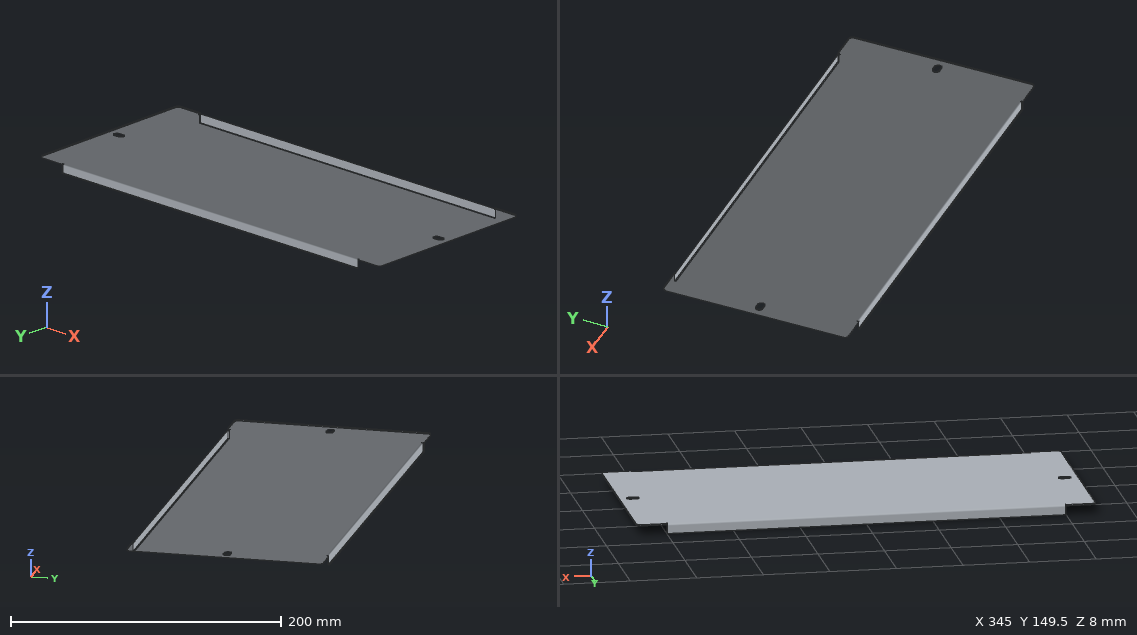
import cadquery as cq

length = 345.0
width = 149.5
height = 8.0
thickness = 1.0
corner_radius = 3.0

flange_length = 299.5
bend_outer_radius = 2.0
bend_inner_radius = bend_outer_radius - thickness

slot_length = 9.3
slot_width = 5.5
slot_spacing = 324.3


def make_channel():
    """Panel between the flange ends, with both flanges and rounded bends."""
    outer = (
        cq.Workplane("XY")
        .box(flange_length, width, height, centered=(True, True, False))
        .edges("|X and >Z")
        .fillet(bend_outer_radius)
    )
    inner = (
        cq.Workplane("XY")
        .box(flange_length, width - 2 * thickness, height - thickness, centered=(True, True, False))
        .edges("|X and >Z")
        .fillet(bend_inner_radius)
    )
    return outer.cut(inner)


def make_end_tab(side):
    """Flat end of the panel beyond the flanges; side is -1 or +1 along X."""
    tab_length = (length - flange_length) / 2
    return (
        cq.Workplane("XY")
        .box(tab_length, width, thickness)
        .edges("|Z and >X" if side > 0 else "|Z and <X")
        .fillet(corner_radius)
        .translate((side * (length - tab_length) / 2, 0, height - thickness / 2))
    )


def make_slots():
    """Cutters for the two mounting slots, running along X."""
    return (
        cq.Workplane("XY")
        .pushPoints([(-slot_spacing / 2, 0), (slot_spacing / 2, 0)])
        .slot2D(slot_length, slot_width)
        .extrude(height)
    )


panel = make_channel()
for side in (-1, 1):
    panel = panel.union(make_end_tab(side))

result = panel.cut(make_slots())